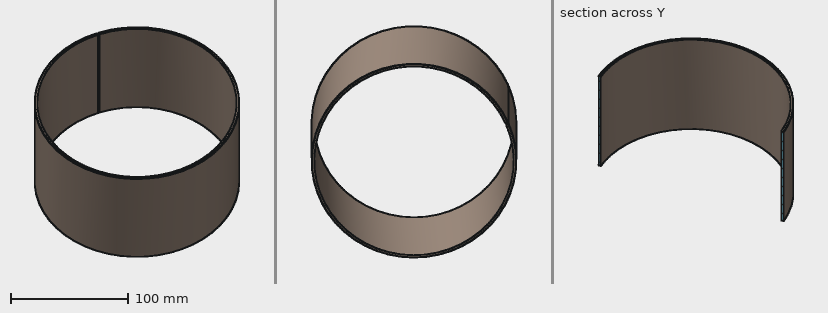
import cadquery as cq

outer_diameter = 175.0
wall_thickness = 2.5
height = 100.0
outer_chamfer = 0.5
inner_chamfer = 0.2
gap_angle = 1.0

outer_radius = outer_diameter / 2
inner_radius = outer_radius - wall_thickness


def make_wall_section():
    """Wall section in the XZ plane on the -X side, with all four rim corners chamfered."""
    return (
        cq.Workplane("XZ")
        .moveTo(-outer_radius, outer_chamfer)
        .lineTo(-outer_radius, height - outer_chamfer)
        .lineTo(-outer_radius + outer_chamfer, height)
        .lineTo(-inner_radius - inner_chamfer, height)
        .lineTo(-inner_radius, height - inner_chamfer)
        .lineTo(-inner_radius, inner_chamfer)
        .lineTo(-inner_radius - inner_chamfer, 0)
        .lineTo(-outer_radius + outer_chamfer, 0)
        .close()
    )


def make_split_ring(wall_section):
    """Sweep the section about Z, starting at -X and leaving the gap just on the +Y side of it."""
    axis_start = (0, 0, 0)
    axis_end = (0, 1, 0)
    return wall_section.revolve(360 - gap_angle, axis_start, axis_end)


result = make_split_ring(make_wall_section())